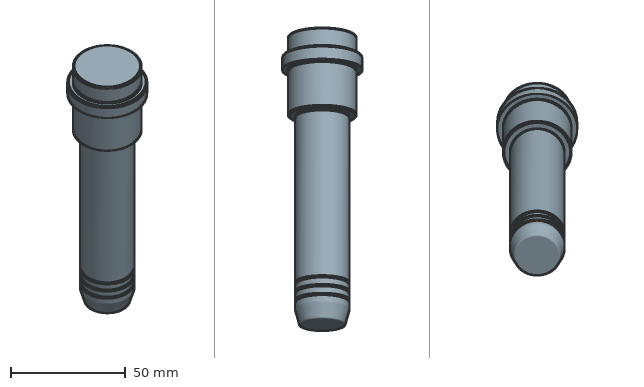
import cadquery as cq
import math

length = 131.0

head_radius = 15.0
collar_diameter = 35.0
collar_radius = collar_diameter / 2
collar_bottom = 116.0
collar_top = 122.1
body_bottom = 95.0
edge_chamfer = 0.7

shank_diameter = 24.0
shank_radius = shank_diameter / 2
relief_radius = 11.7
relief_height = 0.5
relief_slope_height = 0.4

undercut_width = 0.8
undercut_depth = 0.5
groove_width = 1.0
groove_depth = 0.4
groove_count = 3
groove_span = 8.0
groove_pitch = groove_span / (groove_count - 1)
lowest_groove_center = 10.6

taper_height = 7.1
taper_angle = 15.5
tip_round = 0.8


def cylinder(radius, bottom, top):
    return cq.Workplane("XY").workplane(offset=bottom).circle(radius).extrude(top - bottom)


def make_head():
    post = cylinder(head_radius, body_bottom, length).faces("<Z or >Z").chamfer(edge_chamfer)
    collar = cylinder(collar_radius, collar_bottom, collar_top).faces(">Z").chamfer(edge_chamfer)
    return post.union(collar)


def make_shank():
    tip_radius = shank_radius - taper_height * math.tan(math.radians(taper_angle))
    relief_bottom = body_bottom - relief_height
    profile = (
        cq.Workplane("XZ")
        .moveTo(0, 0)
        .lineTo(tip_radius, 0)
        .lineTo(shank_radius, taper_height)
        .lineTo(shank_radius, relief_bottom - relief_slope_height)
        .lineTo(relief_radius, relief_bottom)
        .lineTo(relief_radius, body_bottom)
        .lineTo(0, body_bottom)
        .close()
    )
    return profile.revolve(360, (0, 0, 0), (0, 1, 0)).faces("<Z").edges().fillet(tip_round)


def make_groove(surface_radius, center, width, depth):
    section = cq.Workplane("XZ").polyline(
        [
            (surface_radius - depth, center),
            (surface_radius, center - width / 2),
            (surface_radius + depth, center),
            (surface_radius, center + width / 2),
        ]
    )
    return section.close().revolve(360, (0, 0, 0), (0, 1, 0))


result = make_head().union(make_shank())
for undercut_center in (collar_bottom - undercut_width / 2, collar_top + undercut_width / 2):
    result = result.cut(make_groove(head_radius, undercut_center, undercut_width, undercut_depth))
for index in range(groove_count):
    groove_center = lowest_groove_center + index * groove_pitch
    result = result.cut(make_groove(shank_radius, groove_center, groove_width, groove_depth))